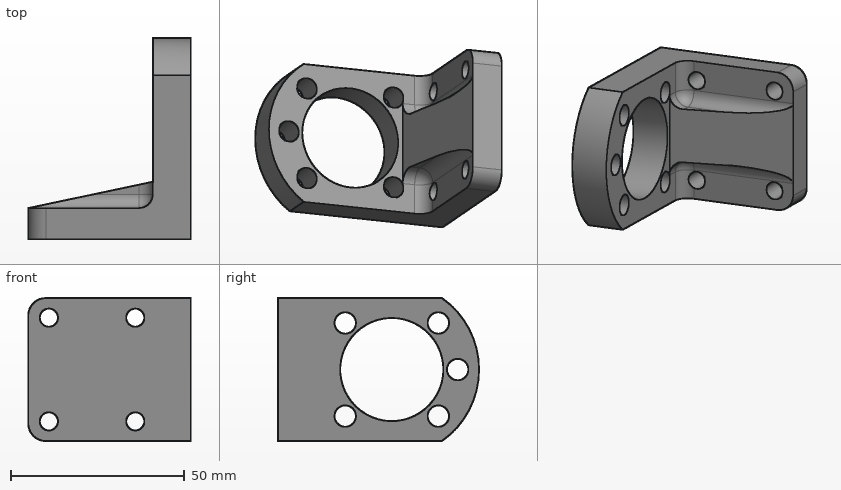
import cadquery as cq
import math

width = 47.0
depth = 58.2
height = 41.4

base_thickness = 9.0
flange_thickness = 11.0
base_corner_radius = 5.1
flange_end_radius = 25.25

rib_width = 15.95
rib_top = 16.65
inner_fillet_radius = 4.0

base_hole_diameter = 5.2
base_hole_edge_distance = 6.0
base_hole_pitch_x = 24.95
base_hole_pitch_z = 30.0
bore_diameter = 29.75
flange_hole_diameter = 6.1
flange_hole_circle_radius = 19.05
flange_hole_angles = (-135, -45, 0, 45, 135)

flange_x = width - flange_thickness
bore_y = depth - flange_end_radius


def box(x_size, y_size, z_size, x=0, y=0):
    """Block centred on Z = 0, with its low X and Y sides at x and y."""
    block = cq.Workplane("XY").box(x_size, y_size, z_size, centered=(False, False, True))
    return block.translate((x, y, 0))


def flange_cylinder(diameter, y=bore_y, z=0):
    """Cylinder along X through the full part width."""
    return cq.Workplane("YZ").center(y, z).circle(diameter / 2).extrude(width)


def make_filleted_body():
    """Two plates and a full-depth rib, blended in the inner corner, then sloped."""
    body = box(width, base_thickness, height)
    body = body.union(box(flange_thickness, depth, height, x=flange_x))
    rib_block_depth = bore_y - base_thickness
    body = body.union(box(flange_x, rib_block_depth, rib_width, y=base_thickness))

    tolerance = 0.05
    rib_side = rib_width / 2 + tolerance
    rib_zone = cq.selectors.BoxSelector(
        (tolerance, base_thickness - tolerance, -rib_side),
        (flange_x + tolerance, bore_y - tolerance, rib_side),
    )
    plate_zone = cq.selectors.BoxSelector(
        (flange_x - tolerance, base_thickness - tolerance, -height / 2),
        (flange_x + tolerance, base_thickness + tolerance, height / 2),
    )
    rib_edges = body.edges(rib_zone)
    plate_edges = body.edges(plate_zone)
    body = rib_edges.add(plate_edges).fillet(inner_fillet_radius)

    above_slope = (
        cq.Workplane("XY")
        .moveTo(0, base_thickness)
        .lineTo(flange_x, rib_top)
        .lineTo(flange_x, depth)
        .lineTo(0, depth)
        .close()
        .extrude(height / 2, both=True)
    )
    return body.cut(above_slope)


def round_plate_ends(body):
    """Round the free corners of the base and the free end of the flange."""
    body = body.edges("|Y").edges("<X").fillet(base_corner_radius)
    envelope = box(width, bore_y, height).union(flange_cylinder(2 * flange_end_radius))
    return body.intersect(envelope)


def cut_base_holes(body):
    for x in (base_hole_edge_distance, base_hole_edge_distance + base_hole_pitch_x):
        for z in (-base_hole_pitch_z / 2, base_hole_pitch_z / 2):
            hole = cq.Workplane("XZ").center(x, z).circle(base_hole_diameter / 2).extrude(-depth)
            body = body.cut(hole)
    return body


def cut_flange_holes(body):
    body = body.cut(flange_cylinder(bore_diameter))
    for angle in flange_hole_angles:
        y = bore_y + flange_hole_circle_radius * math.cos(math.radians(angle))
        z = flange_hole_circle_radius * math.sin(math.radians(angle))
        body = body.cut(flange_cylinder(flange_hole_diameter, y, z))
    return body


result = cut_flange_holes(cut_base_holes(round_plate_ends(make_filleted_body())))